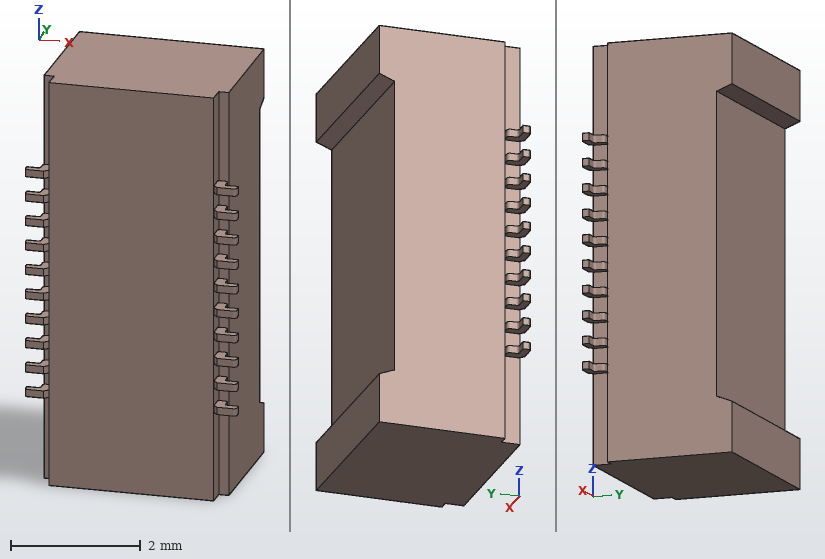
import cadquery as cq

total_width = 3.38
total_depth = 2.4
body_height = 6.6

body_width = 2.95
pin_projection = 0.05
corner_step_width = 0.16
corner_step_depth = 0.3

recess_depth = 0.25
end_block_height = 0.8
recess_slope_height = 0.1

pins_per_row = 10
pin_pitch = 0.4
pin_thickness = 0.12
foot_thickness = 0.13
pin_depth = 0.305
tip_radius = 0.05
bend_radius = 0.04
heel_chamfer = 0.07

base_y = pin_projection
mating_y = total_depth
half_body_width = body_width / 2
half_height = body_height / 2
step_wall_x = half_body_width - corner_step_width
toe_x = total_width / 2


def make_housing():
    """Block with its two long base corners stepped back for the pins."""
    step_y = base_y + corner_step_depth
    main_block = cq.Workplane("XY").box(
        body_width, mating_y - step_y, body_height, centered=(True, False, True)
    )
    base_block = cq.Workplane("XY").box(
        2 * step_wall_x, mating_y - base_y, body_height, centered=(True, False, True)
    )
    return main_block.translate((0, step_y, 0)).union(base_block.translate((0, base_y, 0)))


def make_recess():
    """Full-width channel with sloping ends, cut into the mating face."""
    mouth_z = half_height - end_block_height
    floor_z = mouth_z - recess_slope_height
    floor_y = mating_y - recess_depth
    return (
        cq.Workplane("YZ")
        .polyline([(mating_y, -mouth_z), (mating_y, mouth_z), (floor_y, floor_z), (floor_y, -floor_z)])
        .close()
        .extrude(half_body_width, both=True)
    )


def pin_corner(pin, x, y):
    """Edge across the pin's thickness at the profile corner (x, y)."""
    return pin.edges(cq.selectors.NearestToPointSelector((x, y, 0)))


def make_pin():
    """L-shaped pin on the +X side, its upright lying against the step wall."""
    pin = (
        cq.Workplane("XY")
        .moveTo(step_wall_x, 0)
        .lineTo(toe_x, 0)
        .lineTo(toe_x, foot_thickness)
        .lineTo(half_body_width, foot_thickness)
        .lineTo(half_body_width, pin_depth)
        .lineTo(step_wall_x, pin_depth)
        .close()
        .extrude(pin_thickness / 2, both=True)
    )
    rounded_corners = (
        (toe_x, 0, tip_radius),
        (half_body_width, foot_thickness, bend_radius),
        (half_body_width, pin_depth, tip_radius),
    )
    for x, y, radius in rounded_corners:
        pin = pin_corner(pin, x, y).fillet(radius)
    return pin_corner(pin, step_wall_x, 0).chamfer(heel_chamfer)


def make_pin_rows():
    """Matching rows of pins along both sides, centred on the housing height."""
    right_pin = make_pin()
    left_pin = right_pin.mirror("YZ")
    first_z = -pin_pitch * (pins_per_row - 1) / 2
    pins = []
    for index in range(pins_per_row):
        offset = (0, 0, first_z + index * pin_pitch)
        pins.append(right_pin.translate(offset))
        pins.append(left_pin.translate(offset))
    return pins


result = make_housing().cut(make_recess())
for pin in make_pin_rows():
    result = result.union(pin)